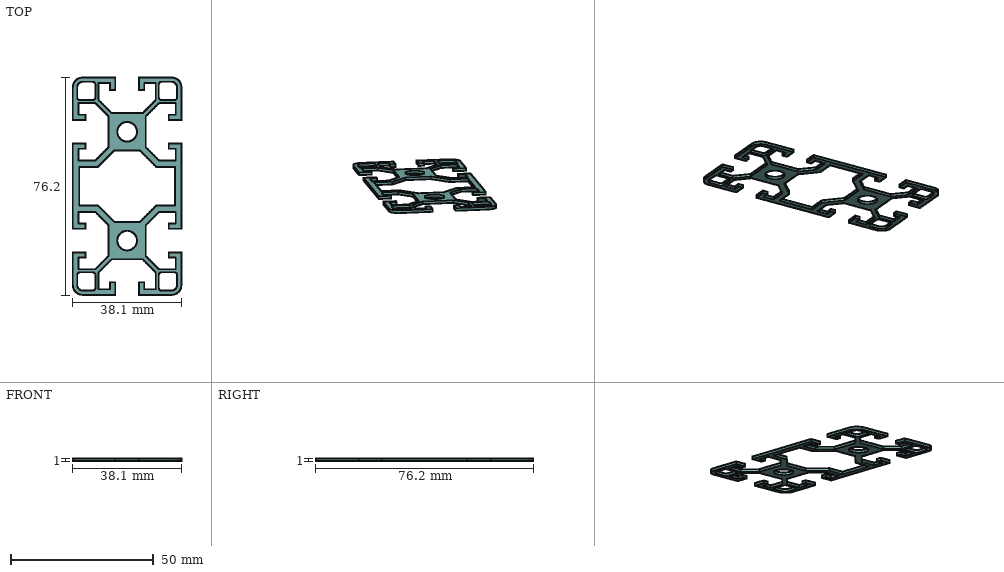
import cadquery as cq

module = 38.1
length_y = 2 * module
thickness = 1.0
half_module = module / 2
outer_radius = 3.5

slot_opening = 8.2
lip_depth = 4.5
lip_thickness = 1.9
slot_wall = 2.05
core_half = 6.6
strut_offset = 1.15
slot_half_width = 10.0

bore_diameter = 6.8
pocket_wall = 1.6
pocket_web = 1.15
pocket_outer_radius = outer_radius - pocket_wall
pocket_inner_radius = 0.85

chamber_wall = 2.35
chamber_half_x = half_module - chamber_wall
chamber_side_half_y = 6.7
chamber_end_half_x = 4.5
chamber_half_y = half_module - core_half

module_slots = {
    half_module: (0, 90, 180),
    -half_module: (0, 180, 270),
}


def blank():
    """Rounded rectangular plate."""
    plate = cq.Workplane("XY").rect(module, length_y).extrude(thickness)
    return plate.edges("|Z").fillet(outer_radius)


def t_slot(center_y, angle):
    """Cutter for a slot opening toward +X, turned by angle about the center of its module."""
    opening_half = slot_opening / 2
    lip_end = half_module - lip_depth
    slot_outer = half_module - slot_wall
    upper_half = [
        (half_module, opening_half),
        (lip_end, opening_half),
        (lip_end, opening_half + lip_thickness),
        (slot_outer, opening_half + lip_thickness),
        (slot_outer, slot_half_width),
        (slot_half_width + strut_offset, slot_half_width),
        (core_half, core_half - strut_offset),
    ]
    lower_half = [(x, -y) for x, y in reversed(upper_half)]
    cutter = cq.Workplane("XY").polyline(upper_half + lower_half).close().extrude(thickness)
    return cutter.rotate((0, 0, 0), (0, 0, 1), angle).translate((0, center_y, 0))


def central_chamber():
    """Cutter for the chamber that narrows at 45 degrees toward each core."""
    shoulder_half_x = chamber_end_half_x + chamber_half_y - chamber_side_half_y
    quarter = [
        (chamber_half_x, chamber_side_half_y),
        (shoulder_half_x, chamber_side_half_y),
        (chamber_end_half_x, chamber_half_y),
    ]
    upper = quarter + [(-x, y) for x, y in reversed(quarter)]
    lower = [(-x, -y) for x, y in upper]
    return cq.Workplane("XY").polyline(upper + lower).close().extrude(thickness)


def bore(center_y):
    """Cutter for the round bore through a core."""
    return cq.Workplane("XY").center(0, center_y).circle(bore_diameter / 2).extrude(thickness)


def corner_pocket():
    """Cutter for the rounded square pocket in the +X +Y corner."""
    size = half_module - slot_half_width - pocket_web - pocket_wall
    center_x = half_module - pocket_wall - size / 2
    center_y = module - pocket_wall - size / 2
    pocket = cq.Workplane("XY").center(center_x, center_y).rect(size, size).extrude(thickness)
    pocket = pocket.edges("|Z and (<X or <Y)").fillet(pocket_inner_radius)
    return pocket.edges("|Z and >X and >Y").fillet(pocket_outer_radius)


result = blank().cut(central_chamber())
for core_y, slot_angles in module_slots.items():
    result = result.cut(bore(core_y))
    for slot_angle in slot_angles:
        result = result.cut(t_slot(core_y, slot_angle))

right_pocket = corner_pocket()
for pocket in (right_pocket, right_pocket.mirror("YZ")):
    result = result.cut(pocket).cut(pocket.mirror("XZ"))